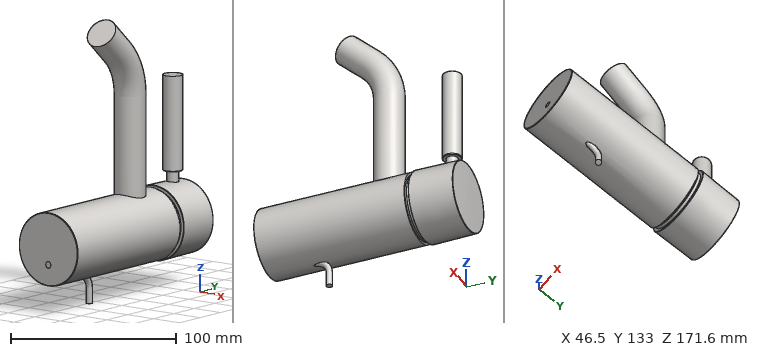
import cadquery as cq
import math


BODY_RADIUS = 22.6
BODY_LENGTH = 100.0
BODY_BACK = 20.0
BODY_FRONT = BODY_BACK - BODY_LENGTH
RIM_CHAMFER = 0.4

NECK_STEP_RADIUS = 21.2
NECK_RADIUS = 21.0
NECK_STEP_LENGTH = 1.0
NECK_LENGTH = 3.0
NECK_BACK = BODY_BACK + NECK_LENGTH

CAP_FRONT_RADIUS = 46.49 / 2
CAP_BACK_RADIUS = 22.85
CAP_LENGTH = 30.0
CAP_CHAMFER = 0.3
CAP_DOME_RISE = 0.6
CAP_BACK = NECK_BACK + CAP_LENGTH

LEVER_Y = 41.7
STEM_RADIUS = 3.7
GRIP_RADIUS = 6.1
GRIP_BOTTOM = 29.6
GRIP_TOP = 88.6
GRIP_CHAMFER = 0.5

SPOUT_RADIUS = 9.7
SPOUT_BEND_BOTTOM = 83.04
SPOUT_BEND_RADIUS = 37.5
SPOUT_BEND_ANGLE = 48.0
SPOUT_TIP_LENGTH = 21.0

ROD_RADIUS = 1.95
ROD_Y = -39.9
ROD_BOTTOM = -39.4
ROD_BEND_BOTTOM = -29.7
ROD_BEND_RADIUS = 8.0
ROD_RISE_ANGLE = 20.0


def turned(profile):
    """Revolve a (radius, y) profile about the Y axis."""
    return cq.Workplane("XY").polyline(profile).close().revolve(360, (0, 0, 0), (0, 1, 0))


def upright_cylinder(radius, y, bottom, top):
    return cq.Workplane("XY", origin=(0, y, bottom)).circle(radius).extrude(top - bottom)


def bent_bar(radius, y, bottom, bend_bottom, bend_radius, bend_angle, tip_length):
    """Round bar that rises from bottom, bends towards -Y and goes on straight for tip_length."""

    def on_bend(angle):
        turn = math.radians(angle)
        return (
            y - bend_radius * (1 - math.cos(turn)),
            bend_bottom + bend_radius * math.sin(turn),
        )

    turn = math.radians(bend_angle)
    bend_end = on_bend(bend_angle)
    tip = (bend_end[0] - tip_length * math.sin(turn), bend_end[1] + tip_length * math.cos(turn))
    path = (
        cq.Workplane("YZ")
        .moveTo(y, bottom)
        .lineTo(y, bend_bottom)
        .threePointArc(on_bend(bend_angle / 2), bend_end)
        .lineTo(*tip)
    )
    return cq.Workplane("XY", origin=(0, y, bottom)).circle(radius).sweep(path)


def make_body():
    return turned([
        (0, BODY_FRONT),
        (BODY_RADIUS - RIM_CHAMFER, BODY_FRONT),
        (BODY_RADIUS, BODY_FRONT + RIM_CHAMFER),
        (BODY_RADIUS, BODY_BACK),
        (0, BODY_BACK),
    ])


def make_neck():
    step_back = BODY_BACK + NECK_STEP_LENGTH
    return turned([
        (0, BODY_BACK),
        (NECK_STEP_RADIUS, BODY_BACK),
        (NECK_STEP_RADIUS, step_back),
        (NECK_RADIUS, step_back),
        (NECK_RADIUS, NECK_BACK),
        (0, NECK_BACK),
    ])


def make_cap():
    dome_rim = CAP_BACK - CAP_DOME_RISE
    dome_rim_radius = CAP_BACK_RADIUS - CAP_CHAMFER
    dome_radius = (dome_rim_radius**2 + CAP_DOME_RISE**2) / (2 * CAP_DOME_RISE)
    half_profile = (
        cq.Workplane("XY")
        .moveTo(0, NECK_BACK)
        .lineTo(CAP_FRONT_RADIUS - CAP_CHAMFER, NECK_BACK)
        .lineTo(CAP_FRONT_RADIUS, NECK_BACK + CAP_CHAMFER)
        .lineTo(CAP_BACK_RADIUS, dome_rim - CAP_CHAMFER)
        .lineTo(dome_rim_radius, dome_rim)
        .radiusArc((0, CAP_BACK), -dome_radius)
        .close()
    )
    return half_profile.revolve(360, (0, 0, 0), (0, 1, 0))


def make_stem(cap):
    """The foot of the stem is shaped to the round cap it stands on."""
    return upright_cylinder(STEM_RADIUS, LEVER_Y, 0, GRIP_BOTTOM).cut(cap)


def make_grip():
    grip = upright_cylinder(GRIP_RADIUS, LEVER_Y, GRIP_BOTTOM, GRIP_TOP)
    return grip.faces("<Z").edges().chamfer(GRIP_CHAMFER)


def make_spout(body):
    """The foot of the spout is shaped to the round body it stands on."""
    bar = bent_bar(
        SPOUT_RADIUS, 0, 0, SPOUT_BEND_BOTTOM, SPOUT_BEND_RADIUS, SPOUT_BEND_ANGLE, SPOUT_TIP_LENGTH
    )
    return bar.cut(body)


def make_rod():
    """The rod runs through the body and ends flush with the body's front face."""
    tip_past_front = BODY_LENGTH / 2
    bar = bent_bar(
        ROD_RADIUS, ROD_Y, ROD_BOTTOM, ROD_BEND_BOTTOM, ROD_BEND_RADIUS, 90 - ROD_RISE_ANGLE, tip_past_front
    )
    ahead_of_body = (
        cq.Workplane("XZ", origin=(0, BODY_FRONT, 0))
        .rect(2 * BODY_LENGTH, 2 * BODY_LENGTH)
        .extrude(BODY_LENGTH)
    )
    return bar.cut(ahead_of_body)


full_body = make_body()
cap = make_cap()
neck = make_neck()
stem = make_stem(cap)
grip = make_grip()
spout = make_spout(full_body)
rod = make_rod()
body = full_body.cut(rod)

result = cq.Compound.makeCompound([
    body.val(),
    neck.val(),
    cap.val(),
    stem.val(),
    grip.val(),
    spout.val(),
    rod.val(),
])